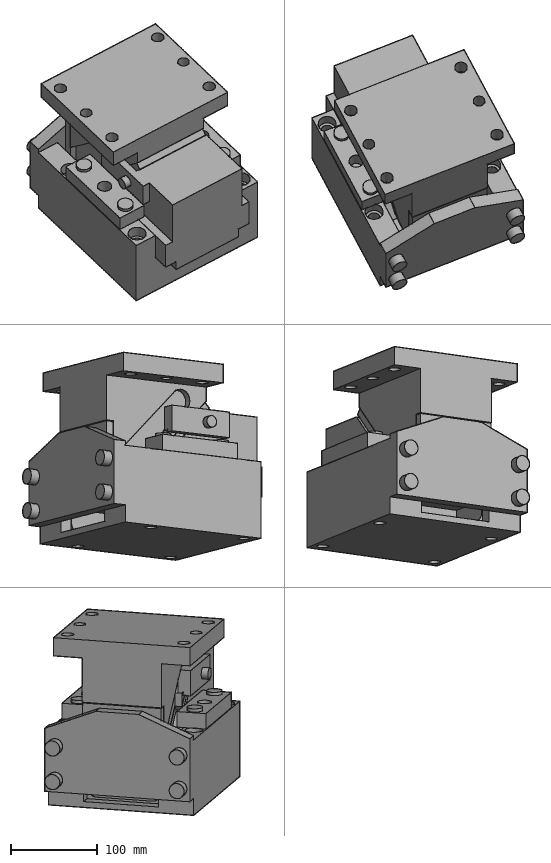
import cadquery as cq
import math


base_length = 189.8
base_width = 175.0
base_height = 90.0
mount_xs = (44.5, 174.7)
mount_y = 75.0
mount_bore = 14.0
mount_counterbore = 20.6
counterbore_depth = 14.2

flange_width = 120.0
flange_bottom = 54.5
keel_width = 90.0
keel_bottom = 42.0

recess_width = 90.0
recess_bottom = 7.0
recess_depth = 14.2
pocket_width = 87.2
pocket_bottom = 9.7
pocket_depth = 71.0
pocket_radius = 10.0
pocket_top = 35.5

plate_thickness = 15.6
plate_bottom = 20.1
plate_shoulder = 95.3
plate_top = 120.0
plate_flat_width = 51.7
head_diameter = 18.0
head_length = 11.4
head_y = 75.0
head_zs = (34.8, 75.0)

gib_start = 52.5
gib_length = 104.8
gib_outer_y = 86.7
gib_inner_y = 52.0
gib_top = 108.5
gib_hole_y = 70.0
gib_screw_pitch = 80.3
gib_head_height = 3.8
gib_hole_diameter = 16.4

slide_end = 210.0
slide_width = 100.0
slide_top = 150.0
cam_offset = 9.7

retainer_start = 84.5
retainer_length = 80.3
retainer_thickness = 9.0
retainer_height = 30.0
pin_x = 134.9
pin_z = 134.9
pin_diameter = 13.5
pin_length = 8.0
tongue_depth = 6.5
slide_front = -slide_width / 2
retainer_face = slide_front - retainer_thickness
retainer_end = retainer_start + retainer_length
retainer_bottom = slide_top - retainer_height

driver_y = -1.0
driver_length = 139.8
driver_top = 200.0
flange_plate_width = 164.7
flange_plate_thickness = 21.8
stem_width = 95.5
stem_bottom = 59.2
cam_plate_thickness = 8.5
cam_plate_end_x = 144.3
outer_hole_xs = (19.5, 119.5)
outer_hole_diameter = 14.2
middle_hole_diameter = 13.3
driver_hole_spacing = 140.0

pad_thickness = 9.7
pad_top = 124.7
pad_gap = 1.0
wear_inset = 0.5

groove_depth = 8.3
groove_width = 25.1
groove_end_x = 104.0
groove_end_z = 159.5

stem_front = driver_y - stem_width / 2
stem_back = driver_y + stem_width / 2
cam_plate_run = cam_plate_thickness * math.sqrt(2)


def block(x0, x1, y0, y1, z0, z1):
    """Box between opposite corners."""
    return cq.Workplane("XY").box(x1 - x0, y1 - y0, z1 - z0, centered=False).translate((x0, y0, z0))


def centred_block(x0, x1, width, z0, z1, y=0.0):
    """Box that is symmetric about the plane Y = y."""
    return block(x0, x1, y - width / 2, y + width / 2, z0, z1)


def upright(x, y, z, diameter, height):
    """Cylinder along Z that starts at (x, y, z)."""
    return cq.Workplane("XY", origin=(x, y, z)).circle(diameter / 2).extrude(height)


def profile(points, y0, y1):
    """Polygon of (X, Z) points extruded along Y from y0 to y1."""
    return cq.Workplane("XZ", origin=(0, y0, 0)).polyline(points).close().extrude(y0 - y1)


def cam_plane_x(z):
    """X of the cam face at height z."""
    return z - cam_offset


def make_end_plate():
    half = base_width / 2
    half_flat = plate_flat_width / 2
    outline = [
        (-half, plate_bottom),
        (half, plate_bottom),
        (half, plate_shoulder),
        (half_flat, plate_top),
        (-half_flat, plate_top),
        (-half, plate_shoulder),
    ]
    plate = cq.Workplane("YZ").polyline(outline).close().extrude(-plate_thickness)
    head_points = [(side * head_y, z) for side in (-1, 1) for z in head_zs]
    heads = (
        cq.Workplane("YZ", origin=(-plate_thickness, 0, 0))
        .pushPoints(head_points)
        .circle(head_diameter / 2)
        .extrude(-head_length)
    )
    return plate.union(heads)


def make_gib(side):
    """Gib bar over one slide flange; side is -1 or 1."""
    y0, y1 = sorted((side * gib_inner_y, side * gib_outer_y))
    middle_x = gib_start + gib_length / 2
    y = side * gib_hole_y
    gib = block(gib_start, gib_start + gib_length, y0, y1, base_height, gib_top)
    gib = gib.cut(upright(middle_x, y, base_height, gib_hole_diameter, gib_top - base_height))
    for end in (-1, 1):
        x = middle_x + end * gib_screw_pitch / 2
        gib = gib.union(upright(x, y, gib_top, head_diameter, gib_head_height))
    return gib


def make_base():
    base = centred_block(0, base_length, base_width, 0, base_height)
    base = base.cut(centred_block(0, base_length, flange_width, flange_bottom, base_height))
    base = base.cut(centred_block(0, base_length, keel_width, keel_bottom, flange_bottom))
    for x in mount_xs:
        for side in (-1, 1):
            y = side * mount_y
            base = base.cut(upright(x, y, 0, mount_bore, base_height))
            counterbore_z = base_height - counterbore_depth
            base = base.cut(upright(x, y, counterbore_z, mount_counterbore, counterbore_depth))
    recess = centred_block(0, recess_depth, recess_width, recess_bottom, pocket_top)
    pocket = centred_block(0, pocket_depth, pocket_width, pocket_bottom, pocket_top)
    pocket = pocket.edges("|X and <Z").fillet(pocket_radius)
    base = base.cut(recess).cut(pocket)
    base = base.union(make_end_plate())
    for side in (-1, 1):
        base = base.union(make_gib(side))
    return base


def groove_cutter(depth):
    """Round-ended 45 degree slot, cut to the given depth from the -Y flank of the stem."""
    reach = 2 * driver_length
    radius = groove_width / 2
    slot = block(-reach, 0, 0, depth, -radius, radius)
    slot = slot.union(cq.Workplane("XZ").circle(radius).extrude(-depth))
    slot = slot.rotate((0, 0, 0), (0, 1, 0), -45)
    return slot.translate((groove_end_x, stem_front, groove_end_z))


def make_tongue():
    """Part of the retainer that hooks into the slanted groove of the driver."""
    tongue = block(
        retainer_start,
        retainer_end,
        slide_front,
        slide_front + tongue_depth,
        retainer_bottom,
        slide_top,
    )
    gap = stem_front - slide_front
    slot = groove_cutter(groove_depth)
    slot = slot.union(slot.translate((0, -gap, 0)))
    return tongue.intersect(slot)


def make_slide():
    slide = centred_block(0, slide_end, slide_width, base_height, slide_top)
    slide = slide.union(centred_block(0, slide_end, flange_width, flange_bottom, base_height))
    slide = slide.union(centred_block(0, slide_end, keel_width, keel_bottom, flange_bottom))
    wedge = [
        (cam_plane_x(keel_bottom), keel_bottom),
        (slide_end, keel_bottom),
        (slide_end, slide_top),
        (cam_plane_x(slide_top), slide_top),
    ]
    slide = slide.intersect(profile(wedge, -flange_width / 2, flange_width / 2))

    retainer = block(
        retainer_start,
        retainer_end,
        retainer_face,
        slide_front,
        retainer_bottom,
        slide_top,
    )
    pin_base = cq.Workplane("XZ", origin=(pin_x, retainer_face, pin_z))
    pin = pin_base.circle(pin_diameter / 2).extrude(pin_length)
    return slide.union(retainer).union(pin).union(make_tongue())


def make_stem():
    """Stem with a slanted underside, without the cam plate below it."""
    outline = [
        (0, driver_top),
        (0, stem_bottom),
        (cam_plane_x(stem_bottom) - cam_plate_run, stem_bottom),
        (driver_length, driver_length + cam_offset + cam_plate_run),
        (driver_length, driver_top),
    ]
    return profile(outline, stem_front, stem_back)


def make_cam_plate():
    """Plate under the stem that lies on the cam face of the slide."""
    shift = cam_plate_thickness / math.sqrt(2)
    tip_z = cam_plate_end_x + cam_offset
    outline = [
        (cam_plane_x(stem_bottom) - cam_plate_run, stem_bottom),
        (cam_plane_x(stem_bottom), stem_bottom),
        (cam_plate_end_x, tip_z),
        (cam_plate_end_x - shift, tip_z + shift),
    ]
    return profile(outline, stem_front + wear_inset, stem_back - wear_inset)


def entry_cutter(depth):
    """Opens the groove downwards, through stem and cam plate, ahead of the retainer plate."""
    groove_rise = groove_end_z - groove_end_x
    square_step = cam_plate_run / 2
    lip_bottom = retainer_start + cam_offset + cam_plate_run
    outline = [
        (stem_bottom - groove_rise, stem_bottom),
        (cam_plane_x(stem_bottom), stem_bottom),
        (retainer_start + square_step, lip_bottom - square_step),
        (retainer_start, lip_bottom),
        (retainer_start, retainer_start + groove_rise),
    ]
    return profile(outline, stem_front, stem_front + depth)


def make_driver():
    plate_underside = driver_top - flange_plate_thickness
    driver = make_stem().union(
        centred_block(0, driver_length, flange_plate_width, plate_underside, driver_top, driver_y)
    )
    driver = driver.cut(groove_cutter(groove_depth)).cut(entry_cutter(groove_depth))
    cam_plate = make_cam_plate().cut(entry_cutter(groove_depth + wear_inset))
    driver = driver.union(cam_plate)

    pad_width = stem_width - 2 * wear_inset
    pad_seat = centred_block(0, pad_thickness, stem_width, stem_bottom, pad_top + pad_gap, driver_y)
    pad = centred_block(0, pad_thickness, pad_width, stem_bottom, pad_top, driver_y)
    driver = driver.cut(pad_seat).union(pad)

    holes = [(x, outer_hole_diameter) for x in outer_hole_xs]
    holes.append((sum(outer_hole_xs) / 2, middle_hole_diameter))
    for x, diameter in holes:
        for side in (-1, 1):
            y = side * driver_hole_spacing / 2
            driver = driver.cut(upright(x, y, plate_underside, diameter, flange_plate_thickness))
    return driver


base = make_base()
slide = make_slide()
driver = make_driver()

result = cq.Compound.makeCompound([base.val(), slide.val(), driver.val()])